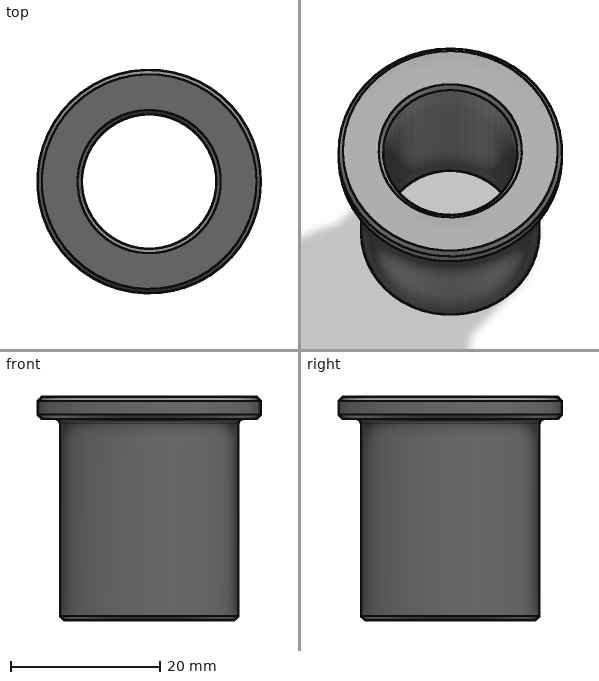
import cadquery as cq

bore_diameter = 18.0
sleeve_diameter = 24.0
flange_diameter = 30.0
total_length = 30.0
flange_thickness = 3.0
edge_chamfer = 0.6
neck_fillet = 0.6

bore_radius = bore_diameter / 2
sleeve_radius = sleeve_diameter / 2
flange_radius = flange_diameter / 2
flange_bottom = total_length - flange_thickness


def flanged_bushing():
    """Revolve the half section of the bushing around the Z axis, bottom end at Z = 0."""
    half_section = (
        cq.Workplane("XZ")
        .moveTo(bore_radius, 0)
        .lineTo(sleeve_radius - edge_chamfer, 0)
        .lineTo(sleeve_radius, edge_chamfer)
        .lineTo(sleeve_radius, flange_bottom - neck_fillet)
        .radiusArc((sleeve_radius + neck_fillet, flange_bottom), neck_fillet)
        .lineTo(flange_radius - edge_chamfer, flange_bottom)
        .lineTo(flange_radius, flange_bottom + edge_chamfer)
        .lineTo(flange_radius, total_length - edge_chamfer)
        .lineTo(flange_radius - edge_chamfer, total_length)
        .lineTo(bore_radius + edge_chamfer, total_length)
        .lineTo(bore_radius, total_length - edge_chamfer)
        .close()
    )
    return half_section.revolve(360, (0, 0, 0), (0, 1, 0))


result = flanged_bushing()